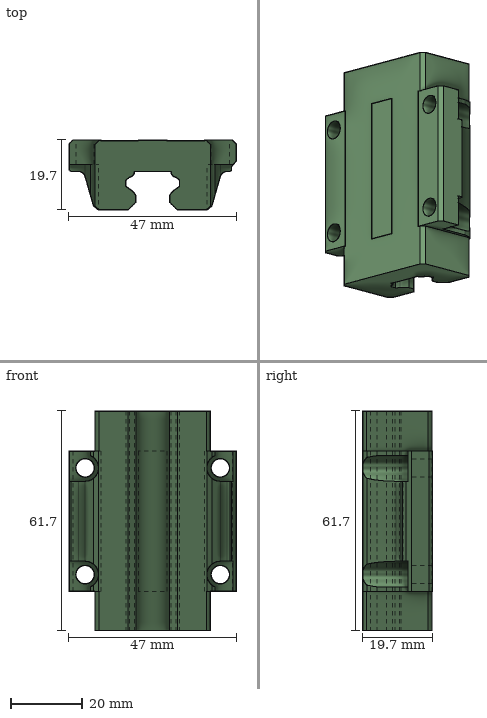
import cadquery as cq


length = 61.7
block_half_width = 16.2
block_height = 19.5
block_chamfer = 1.1

channel_roof_height = 10.75
channel_roof_half_width = 5.2
groove_half_width = 7.5
groove_low, groove_high = 6.65, 8.4
groove_mouth_half_width = 6.55
groove_mouth_low, groove_mouth_high = 5.9, 9.15
roof_lip_height = 10.3
roof_lip_bulge = (5.75, 9.5)
throat_half_width = 4.75
throat_top = 4.1
throat_bulge = (5.6, 5.25)
mouth_chamfer = 2.15

flange_start = 11.05
flange_length = 39.4
flange_end = flange_start + flange_length
flange_middle = flange_start + flange_length / 2
flange_half_width = 23.5
flange_height = 19.7
flange_top_chamfer = 1.1
flange_bottom = 10.8
web_fillet = 2.0
web_top_half_width = 19.45
web_foot_half_width = 16.65
web_foot_height = 1.2
foot_half_width = 15.3

plain_edge_chamfer = 0.5
slant_top = 13.75
step_half_width = 22.2
step_top = 12.2
step_edge_chamfer = 0.45

pad_inner_half_width = 14.55
strip_half_width = 4.0

hole_diameter = 5.1
hole_x = 19.0
hole_spacing_z = 30.0
seat_height = 12.7
seat_radius = 3.75
seat_corner_x = 17.45


def make_block():
    block = (
        cq.Workplane("XY")
        .center(0, block_height / 2)
        .rect(2 * block_half_width, block_height)
        .extrude(length)
    )
    return block.edges("|Z").chamfer(block_chamfer)


def flange_half(outer_edge):
    """Half of the flanged section on the +X side; outer_edge runs down from the upper chamfer."""
    half = (
        cq.Workplane("XY", origin=(0, 0, flange_start))
        .moveTo(0, 0)
        .lineTo(0, flange_height)
        .lineTo(strip_half_width, flange_height)
        .lineTo(strip_half_width, block_height)
        .lineTo(pad_inner_half_width, block_height)
        .lineTo(pad_inner_half_width, flange_height)
        .lineTo(flange_half_width - flange_top_chamfer, flange_height)
    )
    for x, y in outer_edge:
        half = half.lineTo(x, y)
    half = (
        half.lineTo(web_top_half_width, flange_bottom)
        .lineTo(web_foot_half_width, web_foot_height)
        .lineTo(foot_half_width, 0)
        .close()
        .extrude(flange_length)
    )
    web_corner = cq.selectors.NearestToPointSelector((web_top_half_width, flange_bottom, flange_middle))
    return half.edges(web_corner).fillet(web_fillet)


def make_flanges():
    upper_corner = (flange_half_width, flange_height - flange_top_chamfer)
    plain_edge = [
        upper_corner,
        (flange_half_width, flange_bottom + plain_edge_chamfer),
        (flange_half_width - plain_edge_chamfer, flange_bottom),
    ]
    stepped_edge = [
        upper_corner,
        (flange_half_width, slant_top),
        (step_half_width, step_top),
        (step_half_width, flange_bottom + step_edge_chamfer),
        (step_half_width - step_edge_chamfer, flange_bottom),
    ]
    return flange_half(stepped_edge).union(flange_half(plain_edge).mirror("YZ"))


def make_channel():
    half = (
        cq.Workplane("XY")
        .moveTo(0, 0)
        .lineTo(0, channel_roof_height)
        .lineTo(channel_roof_half_width, channel_roof_height)
        .lineTo(channel_roof_half_width, roof_lip_height)
        .threePointArc(roof_lip_bulge, (groove_mouth_half_width, groove_mouth_high))
        .lineTo(groove_half_width, groove_high)
        .lineTo(groove_half_width, groove_low)
        .lineTo(groove_mouth_half_width, groove_mouth_low)
        .threePointArc(throat_bulge, (throat_half_width, throat_top))
        .lineTo(throat_half_width, mouth_chamfer)
        .lineTo(throat_half_width + mouth_chamfer, 0)
        .close()
        .extrude(length)
    )
    return half.union(half.mirror("YZ"))


def upright_box(x_start, x_end, z_start, z_end):
    """Box from the open face up to the seat height."""
    return cq.Workplane("XY").box(
        x_end - x_start, seat_height, z_end - z_start, centered=False
    ).translate((x_start, 0, z_start))


def make_seat_cutter():
    """Upper hole of the +X flange and the clearance in front of its seat."""
    hole_z = flange_middle + hole_spacing_z / 2
    at_hole = cq.Workplane("XZ", origin=(hole_x, 0, hole_z))
    round_seat = at_hole.circle(seat_radius).extrude(-seat_height)
    hole = at_hole.circle(hole_diameter / 2).extrude(-flange_height)
    outer_side = upright_box(hole_x, flange_half_width, hole_z - seat_radius, flange_end)
    end_side = upright_box(seat_corner_x, flange_half_width, hole_z, flange_end)
    return round_seat.union(outer_side).union(end_side).union(hole)


def make_seat_cutters():
    upper_right = make_seat_cutter()
    upper = upper_right.union(upper_right.mirror("YZ"))
    lower = upper.mirror("XY", (0, 0, flange_middle))
    return upper.union(lower)


result = make_block().union(make_flanges()).cut(make_channel()).cut(make_seat_cutters())